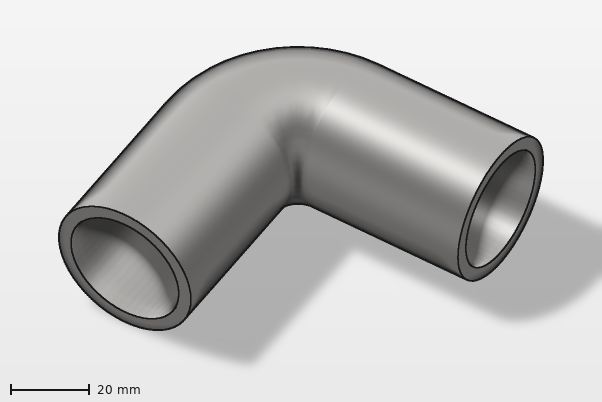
import cadquery as cq

overall_length = 89.0
outer_diameter = 40.0
bore_diameter = 32.6
leg_length = 47.0

bend_radius = overall_length - leg_length - outer_diameter / 2


def elbow(diameter):
    """Solid 90 degree elbow of one diameter, with the bend axis on Z at the origin."""
    path = (
        cq.Workplane("XY")
        .moveTo(-bend_radius, -leg_length)
        .lineTo(-bend_radius, 0)
        .tangentArcPoint((0, bend_radius), relative=False)
        .lineTo(leg_length, bend_radius)
    )
    end_plane = cq.Plane(
        origin=(-bend_radius, -leg_length, 0), xDir=(1, 0, 0), normal=(0, 1, 0)
    )
    return cq.Workplane(end_plane).circle(diameter / 2).sweep(path)


result = elbow(outer_diameter).cut(elbow(bore_diameter))